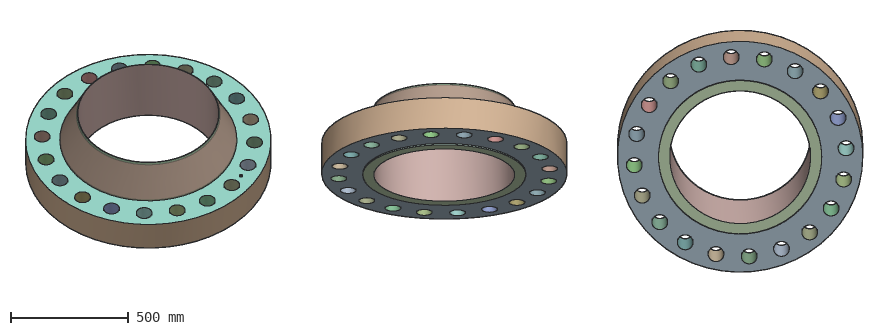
import cadquery as cq
import math

flange_diameter = 1041.0
total_height = 299.0
flange_thickness = 140.0
face_diameter = 692.0
face_height = 6.0

bore_diameter = 598.0
hub_foot_diameter = 752.0
hub_foot_height = 3.0
hub_taper_diameter = 748.0
hub_neck_diameter = 610.0
weld_land_diameter = 602.0
weld_bevel_height = 9.0

bolt_count = 20
bolt_circle_diameter = 902.0
bolt_hole_diameter = 67.0

marker_diameter = 12.0
marker_depth = 3.0
marker_pilot_diameter = 6.0
marker_pilot_depth = 6.0

bore_radius = bore_diameter / 2
flange_radius = flange_diameter / 2
face_radius = face_diameter / 2
bolt_circle_radius = bolt_circle_diameter / 2

flange_top = face_height + flange_thickness
hub_taper_start = flange_top + hub_foot_height
hub_taper_end = total_height - weld_bevel_height


def make_body():
    """Revolve the half section of the flange, radius along X and height along Z."""
    return (
        cq.Workplane("XZ")
        .moveTo(bore_radius, 0)
        .lineTo(face_radius, 0)
        .lineTo(face_radius, face_height)
        .lineTo(flange_radius, face_height)
        .lineTo(flange_radius, flange_top)
        .lineTo(hub_foot_diameter / 2, flange_top)
        .lineTo(hub_taper_diameter / 2, hub_taper_start)
        .lineTo(hub_neck_diameter / 2, hub_taper_end)
        .lineTo(weld_land_diameter / 2, total_height)
        .lineTo(bore_radius, total_height)
        .close()
        .revolve(360, (0, 0, 0), (0, 1, 0))
    )


def make_bolt_holes():
    """Cylinders evenly spaced on the bolt circle, the first one on the +X axis."""
    return (
        cq.Workplane("XY")
        .polarArray(bolt_circle_radius, 0, 360, bolt_count)
        .circle(bolt_hole_diameter / 2)
        .extrude(flange_top)
    )


def make_marker_hole():
    """Stepped hole sunk from the flange top, half a bolt pitch round from the +X axis."""
    half_pitch = math.radians(360 / bolt_count / 2)
    hole_x = bolt_circle_radius * math.cos(half_pitch)
    hole_y = bolt_circle_radius * math.sin(half_pitch)
    mouth = cq.Workplane("XY", origin=(hole_x, hole_y, flange_top))
    wide_step = mouth.circle(marker_diameter / 2).extrude(-marker_depth)
    pilot = mouth.circle(marker_pilot_diameter / 2).extrude(-marker_pilot_depth)
    return wide_step.union(pilot)


result = make_body().cut(make_bolt_holes()).cut(make_marker_hole())